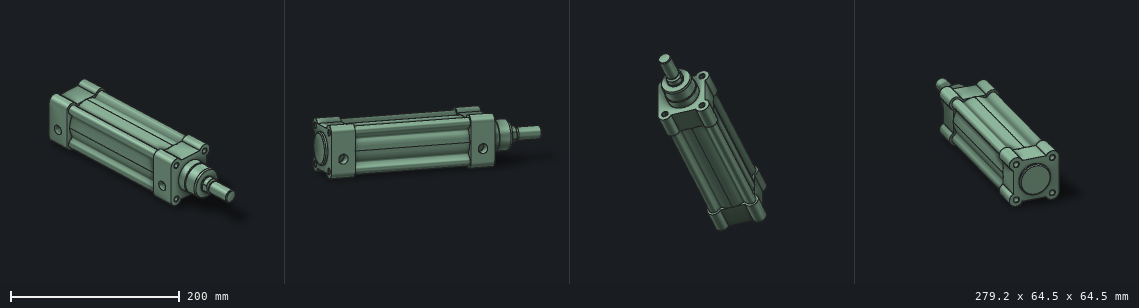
import cadquery as cq
import math


total_length = 279.2
rear_boss_length = 4.0
cap_length = 30.2
barrel_length = 146.3
front_boss_length = 27.6

barrel_start = rear_boss_length + cap_length
barrel_end = barrel_start + barrel_length
front_cap_end = barrel_end + cap_length
boss_face = front_cap_end + front_boss_length

outer_width = 64.5
bolt_spacing = 46.5
bolt_offset = bolt_spacing / 2
corners = [(y, z) for y in (-bolt_offset, bolt_offset) for z in (-bolt_offset, bolt_offset)]

port_side = -outer_width / 2
ear_radius = outer_width / 2 - bolt_offset
recessed_width = 54.5
recessed_side = recessed_width / 2
bolt_hole_diameter = 6.7
bolt_hole_chamfer = 0.5
bolt_hole_depth = 16.8
port_diameter = 11.7
port_depth = 14.0
port_height = -7.8

boss_diameter = 40.0
boss_radius = boss_diameter / 2
rear_chamfer_length = 1.5
rear_chamfer_drop = 1.5
collar_length = 11.2
collar_chamfer = 0.98
nose_radius = boss_radius - collar_chamfer
nose_chamfer_length = 2.5
nose_chamfer_drop = 0.8

tube_radius = 27.5
ridge_half_width = 5.5
rib_width = 12.0
rib_radius = rib_width / 2
rib_fillet_radius = 2.0

rod_radius = 10.0
rod_shoulder_length = 2.0
flat_section_radius = 9.8
flats_width = 17.5
flat_section_end = 246.5
neck_start = 248.2
neck_radius = 7.3
thread_start = 250.0
thread_radius = 8.0
thread_chamfer_length = 1.5
thread_chamfer_drop = 0.8


def yz_plane(x):
    """Sketch plane across the cylinder axis, with local axes along +Y and +Z."""
    return cq.Workplane("YZ", origin=(x, 0, 0))


def revolved(profile):
    """Solid turned around the X axis from a list of (x, radius) points."""
    return cq.Workplane("XY").polyline(profile).close().revolve(360, (0, 0, 0), (1, 0, 0))


def box_between(x_range, y_range, z_range):
    """Axis-aligned box given by its limits along X, Y and Z."""
    size = [high - low for low, high in (x_range, y_range, z_range)]
    low_corner = (x_range[0], y_range[0], z_range[0])
    return cq.Workplane("XY", origin=low_corner).box(*size, centered=False)


def make_cap_block(start, outer_face, inward):
    """Cap with four round ears, a side port, and chamfered bolt holes sunk from its outer face."""
    x_range = (start, start + cap_length)
    block = box_between(x_range, (-bolt_offset, recessed_side), (-recessed_side, recessed_side))
    port_wall = box_between(x_range, (port_side, 0), (-bolt_offset, bolt_offset))
    ears = yz_plane(start).pushPoints(corners).circle(ear_radius).extrude(cap_length)
    block = block.union(port_wall).union(ears)

    bolt_hole_radius = bolt_hole_diameter / 2
    hole = revolved([
        (outer_face, 0),
        (outer_face, bolt_hole_radius + bolt_hole_chamfer),
        (outer_face + inward * bolt_hole_chamfer, bolt_hole_radius),
        (outer_face + inward * bolt_hole_depth, bolt_hole_radius),
        (outer_face + inward * bolt_hole_depth, 0),
    ])
    for y, z in corners:
        block = block.cut(hole.translate((0, y, z)))

    port_center = (start + cap_length / 2, port_side, port_height)
    port = (
        cq.Workplane("XZ", origin=port_center)
        .circle(port_diameter / 2)
        .extrude(-port_depth)
    )
    return block.cut(port)


def make_rear_cap():
    boss = revolved([
        (0, 0),
        (0, boss_radius - rear_chamfer_drop),
        (rear_chamfer_length, boss_radius),
        (rear_boss_length, boss_radius),
        (rear_boss_length, 0),
    ])
    return make_cap_block(rear_boss_length, rear_boss_length, 1).union(boss)


def make_front_cap():
    collar_end = front_cap_end + collar_length
    boss = revolved([
        (front_cap_end, 0),
        (front_cap_end, boss_radius),
        (collar_end - collar_chamfer, boss_radius),
        (collar_end, nose_radius),
        (boss_face - nose_chamfer_length, nose_radius),
        (boss_face, nose_radius - nose_chamfer_drop),
        (boss_face, 0),
    ])
    rod_bore = yz_plane(barrel_end).circle(rod_radius).extrude(cap_length + front_boss_length)
    return make_cap_block(barrel_end, front_cap_end, -1).union(boss).cut(rod_bore)


def make_barrel():
    """Round tube with a shallow ridge on each side and a rounded rib at each corner."""
    tube = yz_plane(barrel_start).circle(tube_radius).extrude(barrel_length)
    flank_height = math.sqrt(tube_radius**2 - ridge_half_width**2)
    ridge_height = tube_radius**2 / flank_height
    ridge = (
        yz_plane(barrel_start)
        .polyline([
            (0, 0),
            (ridge_half_width, flank_height),
            (0, ridge_height),
            (-ridge_half_width, flank_height),
        ])
        .close()
        .extrude(barrel_length)
    )
    rib_distance = math.hypot(bolt_offset, bolt_offset)
    rib = (
        yz_plane(barrel_start)
        .center(rib_distance / 2, 0)
        .slot2D(rib_distance + rib_width, rib_width)
        .extrude(barrel_length)
        .rotate((0, 0, 0), (1, 0, 0), 45)
    )
    barrel = tube
    for quarter in range(4):
        turn = 90 * quarter
        barrel = barrel.union(ridge.rotate((0, 0, 0), (1, 0, 0), turn))
        barrel = barrel.union(rib.rotate((0, 0, 0), (1, 0, 0), turn))

    root_distance = math.sqrt(tube_radius**2 - rib_radius**2)
    middle = (barrel_start + barrel_end) / 2
    roots = []
    for quarter in range(4):
        direction = math.radians(45 + 90 * quarter)
        for side in (-rib_radius, rib_radius):
            y = root_distance * math.cos(direction) - side * math.sin(direction)
            z = root_distance * math.sin(direction) + side * math.cos(direction)
            roots.append((middle, y, z))
    for root in roots:
        barrel = barrel.edges(cq.selectors.NearestToPointSelector(root)).fillet(rib_fillet_radius)
    return barrel


def make_rod():
    """Piston rod with two wrench flats, a tapered neck and the plain outline of its end thread."""
    shoulder_end = boss_face + rod_shoulder_length
    rod = revolved([
        (barrel_end, 0),
        (barrel_end, rod_radius),
        (shoulder_end, rod_radius),
        (shoulder_end, flat_section_radius),
        (flat_section_end, flat_section_radius),
        (neck_start, neck_radius),
        (thread_start, thread_radius),
        (total_length - thread_chamfer_length, thread_radius),
        (total_length, thread_radius - thread_chamfer_drop),
        (total_length, 0),
    ])
    for low, high in ((-rod_radius, -flats_width / 2), (flats_width / 2, rod_radius)):
        rod = rod.cut(box_between((shoulder_end, neck_start), (low, high), (-rod_radius, rod_radius)))
    return rod


rear_cap = make_rear_cap()
barrel = make_barrel()
front_cap = make_front_cap()
rod = make_rod()

result = cq.Compound.makeCompound([rear_cap.val(), barrel.val(), front_cap.val(), rod.val()])